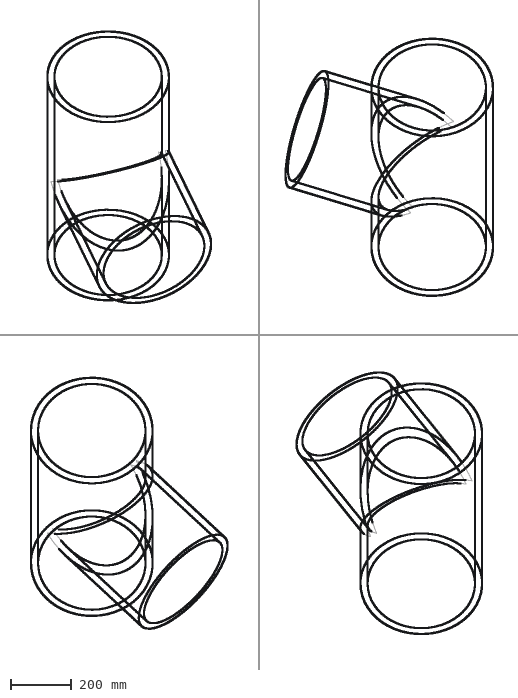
import cadquery as cq

outer_diameter = 400.0
wall = 24.0
run_length = 877.0
overall_width = 639.0

outer_radius = outer_diameter / 2
bore_radius = outer_radius - wall
branch_reach = overall_width - outer_radius


def tee_solid(radius):
    """Union of a run cylinder and a branch cylinder meeting at the origin."""
    run = cq.Workplane("XY").circle(radius).extrude(run_length / 2, both=True)
    branch = cq.Workplane("YZ").circle(radius).extrude(branch_reach)
    return run.union(branch)


result = tee_solid(outer_radius).cut(tee_solid(bore_radius))